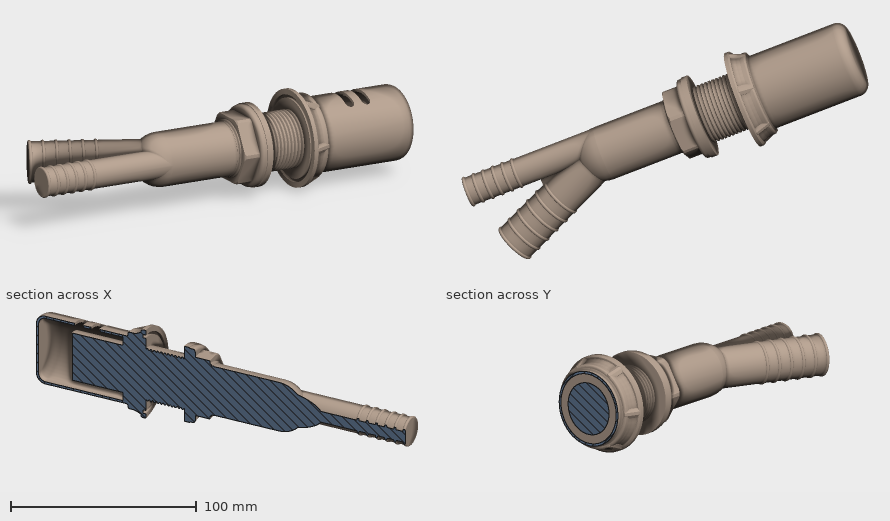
import cadquery as cq
import math


cap_radius = 20.8
cap_wall = 1.5
cap_top = 66.5
cap_bottom = 14.0
cap_edge_fillet = 5.5
cap_inner_fillet = cap_edge_fillet - cap_wall
slot_width = 5.1
slot_length = 25.3
slot_positions = [40.5, 30.6]

core_radius = 14.5
core_top = 44.7

flange_diameter = 53.9
flange_disc_thickness = 3.1
flange_edge_bevel = 1.0
flange_top = 11.0
collar_lip_radius = 21.7
collar_lip_height = 0.7
drum_radius = 23.5
drum_edge_fillet = 1.1
drum_flare_height = 7.5
drum_bend_radius = 24.0
drum_bend_height = 5.5
drum_foot_radius = 25.0
rib_count = 6
rib_crest_width = 1.8
rib_flank_width = 1.8
rib_flank_draft = 35
rib_root_radius = 17.9
rib_top_radius = 23.3
rib_foot_radius = 26.5
groove_outer_radius = 24.0
groove_inner_radius = 22.1
groove_depth = 1.8

thread_crest_radius = 16.0
thread_root_radius = 15.2
thread_pitch = 2.12
thread_crest_width = 0.78
thread_root_width = 0.5
thread_end = -41.0

washer_top = -23.3
washer_radius = 23.0
washer_thickness = 3.4
nut_flange_radius = 22.5
nut_flange_thickness = 3.4
nut_flange_round = 1.8
nut_bottom = -39.0
nut_across_flats = 35.8
nut_corner_radius = 20.1
nut_corner_chamfer = 0.7

tube_radius = 15.0
dome_center = -80.7

straight_radius = 7.8
straight_offset = tube_radius - straight_radius
straight_end = -157.2
straight_bead_pitch = 5.5

angled_radius = 11.2
angled_tilt = 24.8
angled_length = 70.9
angled_bead_pitch = 7.2

bead_count = 6
bead_width = 1.8
bead_height = 0.7

web_thickness = 3.4
web_bottom = -117.5


def disc(radius, y_low, y_high):
    """Cylinder along Y between two heights."""
    return cq.Workplane("XZ", origin=(0, y_high, 0)).circle(radius).extrude(y_high - y_low)


def turn(profile):
    """Revolve an outline, drawn as radius and height, around the Y axis."""
    return profile.close().revolve(360, (0, 0, 0), (0, 1, 0))


def make_cap():
    outer = disc(cap_radius, cap_bottom, cap_top).faces(">Y").edges().fillet(cap_edge_fillet)
    hollow = disc(cap_radius - cap_wall, cap_bottom, cap_top - cap_wall)
    hollow = hollow.faces(">Y").edges().fillet(cap_inner_fillet)
    slots = (
        cq.Workplane("XY")
        .pushPoints([(0, y) for y in slot_positions])
        .slot2D(slot_length, slot_width)
        .extrude(cap_radius)
    )
    return outer.cut(hollow).cut(slots)


def rib_outline(z):
    """Side outline of a rib, in a plane at the given Z."""
    return (
        cq.Workplane("XY", origin=(0, 0, z))
        .moveTo(rib_root_radius, 0)
        .lineTo(rib_foot_radius, 0)
        .lineTo(rib_foot_radius, flange_disc_thickness)
        .lineTo(rib_top_radius, flange_top)
        .lineTo(rib_root_radius, flange_top)
        .close()
    )


def make_rib():
    """Sloped radial rib toward +X with a straight crest and drafted flanks."""
    half_crest = rib_crest_width / 2
    rib = rib_outline(0).extrude(half_crest, both=True)
    flank = rib_outline(half_crest).extrude(rib_flank_width, taper=rib_flank_draft)
    return rib.union(flank).union(flank.mirror("XY"))


def make_flange():
    fillet_mid = drum_edge_fillet * (1 - math.sqrt(0.5))
    flange_radius = flange_diameter / 2
    flange = turn(
        cq.Workplane("XY")
        .moveTo(0, 0)
        .lineTo(flange_radius, 0)
        .lineTo(flange_radius, flange_disc_thickness - flange_edge_bevel)
        .lineTo(flange_radius - flange_edge_bevel, flange_disc_thickness)
        .lineTo(drum_foot_radius, flange_disc_thickness)
        .lineTo(drum_bend_radius, drum_bend_height)
        .lineTo(drum_radius, drum_flare_height)
        .lineTo(drum_radius, flange_top - drum_edge_fillet)
        .threePointArc(
            (drum_radius - fillet_mid, flange_top - fillet_mid),
            (drum_radius - drum_edge_fillet, flange_top),
        )
        .lineTo(collar_lip_radius, flange_top)
        .lineTo(cap_radius, flange_top + collar_lip_height)
        .lineTo(cap_radius, cap_bottom)
        .lineTo(0, cap_bottom)
    )
    rib = make_rib()
    for index in range(rib_count):
        flange = flange.union(rib.rotate((0, 0, 0), (0, 1, 0), index * 360 / rib_count))
    groove = disc(groove_outer_radius, 0, groove_depth).cut(disc(groove_inner_radius, 0, groove_depth))
    return flange.cut(groove)


def make_thread():
    """Row of trapezoidal ridges on the root cylinder."""
    flank = (thread_pitch - thread_crest_width - thread_root_width) / 2
    profile = cq.Workplane("XY").moveTo(0, 0)
    for index in range(int(-thread_end / thread_pitch)):
        ridge_top = -index * thread_pitch
        crest_start = ridge_top - flank
        crest_end = crest_start - thread_crest_width
        profile = (
            profile.lineTo(thread_root_radius, ridge_top)
            .lineTo(thread_crest_radius, crest_start)
            .lineTo(thread_crest_radius, crest_end)
            .lineTo(thread_root_radius, crest_end - flank)
        )
    return turn(profile.lineTo(thread_root_radius, thread_end).lineTo(0, thread_end))


def make_washer_and_nut():
    washer_bottom = washer_top - washer_thickness
    flange_bottom = washer_bottom - nut_flange_thickness
    washer = disc(washer_radius, washer_bottom, washer_top)
    nut_flange = disc(nut_flange_radius, flange_bottom, washer_bottom)
    nut_flange = nut_flange.faces("<Y").edges().fillet(nut_flange_round)
    hexagon = (
        cq.Workplane("XZ", origin=(0, flange_bottom, 0))
        .polygon(6, nut_across_flats / math.cos(math.pi / 6))
        .extrude(flange_bottom - nut_bottom)
    )
    corner_trim = disc(nut_corner_radius, nut_bottom, flange_bottom)
    corner_trim = corner_trim.faces("<Y").edges().chamfer(nut_corner_chamfer)
    return washer.union(nut_flange).union(hexagon.intersect(corner_trim))


def make_outlet(radius, length, bead_pitch):
    """Outlet from the origin toward -Y, with round hose beads up to its end."""
    profile = cq.Workplane("XY").moveTo(0, 0).lineTo(radius, 0)
    for index in reversed(range(bead_count)):
        bead_end = -length + index * bead_pitch
        profile = profile.lineTo(radius, bead_end + bead_width)
        profile = profile.threePointArc((radius + bead_height, bead_end + bead_width / 2), (radius, bead_end))
    return turn(profile.lineTo(0, -length))


def make_web():
    reach = (dome_center - web_bottom) * math.tan(math.radians(angled_tilt))
    return (
        cq.Workplane("XY")
        .moveTo(0, dome_center)
        .lineTo(straight_offset, dome_center)
        .lineTo(straight_offset, web_bottom)
        .lineTo(-reach, web_bottom)
        .close()
        .extrude(web_thickness / 2, both=True)
    )


def make_domed_tube():
    dome_mid = tube_radius * math.sqrt(0.5)
    return turn(
        cq.Workplane("XY")
        .moveTo(0, thread_end)
        .lineTo(tube_radius, thread_end)
        .lineTo(tube_radius, dome_center)
        .threePointArc((dome_mid, dome_center - dome_mid), (0, dome_center - tube_radius))
    )


def make_outlets():
    straight = make_outlet(straight_radius, dome_center - straight_end, straight_bead_pitch)
    straight = straight.translate((straight_offset, dome_center, 0))
    angled = make_outlet(angled_radius, angled_length, angled_bead_pitch)
    angled = angled.rotate((0, 0, 0), (0, 0, 1), -angled_tilt).translate((0, dome_center, 0))
    return make_domed_tube().union(straight).union(angled).union(make_web())


def make_body():
    core = disc(core_radius, cap_bottom, core_top)
    body = make_flange().union(core).union(make_thread()).union(make_washer_and_nut())
    return body.union(make_outlets())


cap = make_cap()
body = make_body()

result = cq.Compound.makeCompound([cap.solids().val(), body.solids().val()])